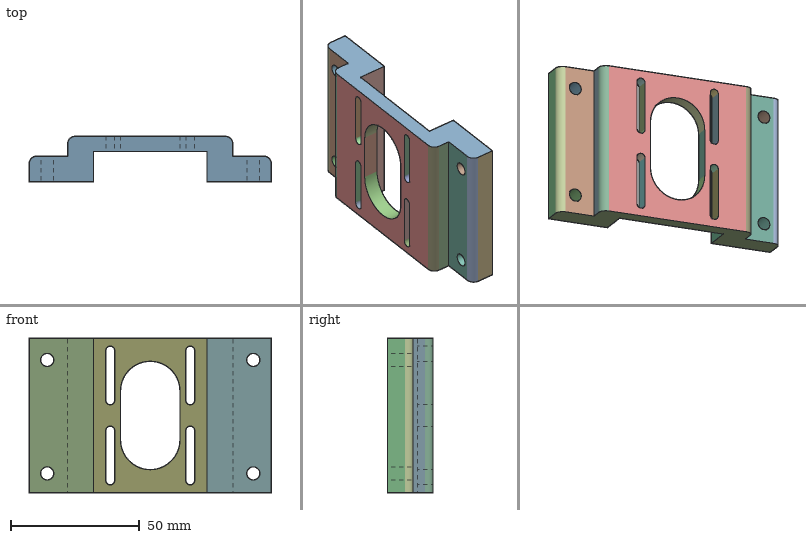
import cadquery as cq

width = 94.0
depth = 17.7
height = 60.0

foot_width = 25.0
foot_thickness = 10.0
bridge_width = 64.1
bridge_thickness = 6.0
edge_radius = 3.0

window_width = 22.9
window_height = 41.9
slot_width = 3.4
slot_length = 22.7
slot_offset_x = 15.5
slot_offset_z = 15.5
hole_diameter = 5.0
hole_offset_x = 39.95
hole_offset_z = 22.0
hole_drop = 0.5

front_y = -depth / 2
back_y = depth / 2
foot_back_y = front_y + foot_thickness
bridge_front_y = back_y - bridge_thickness
half_width = width / 2
half_bridge = bridge_width / 2
half_gap = half_width - foot_width


def make_body():
    """Extrude the stepped profile and round its outer back edges."""
    right_half = [
        (half_gap, bridge_front_y),
        (half_gap, front_y),
        (half_width, front_y),
        (half_width, foot_back_y),
        (half_bridge, foot_back_y),
        (half_bridge, back_y),
    ]
    left_half = [(-x, y) for x, y in reversed(right_half)]
    body = (
        cq.Workplane("XY")
        .workplane(offset=-height / 2)
        .polyline(right_half + left_half)
        .close()
        .extrude(height)
    )
    rounded_corners = [(half_width, foot_back_y), (half_bridge, back_y)]
    for x, y in rounded_corners:
        for side in (-1, 1):
            nearest = cq.selectors.NearestToPointSelector((side * x, y, 0))
            body = body.edges("|Z").edges(nearest).fillet(edge_radius)
    return body


def mirrored_points(x, z):
    """Four points placed symmetrically about both centre lines."""
    return [(sx * x, sz * z) for sx in (-1, 1) for sz in (-1, 1)]


def back_plane(center_z=0):
    """Upright sketch plane on the back face, extruding toward the front."""
    return cq.Workplane("XZ", origin=(0, back_y, center_z))


def upright_slots(points, slot_height, slot_span):
    """Round-ended vertical cutters running through the full depth."""
    return back_plane().pushPoints(points).slot2D(slot_height, slot_span, 90).extrude(depth)


window = upright_slots([(0, 0)], window_height, window_width)
slots = upright_slots(mirrored_points(slot_offset_x, slot_offset_z), slot_length, slot_width)
holes = (
    back_plane(-hole_drop)
    .pushPoints(mirrored_points(hole_offset_x, hole_offset_z))
    .circle(hole_diameter / 2)
    .extrude(depth)
)

result = make_body().cut(window).cut(slots).cut(holes)